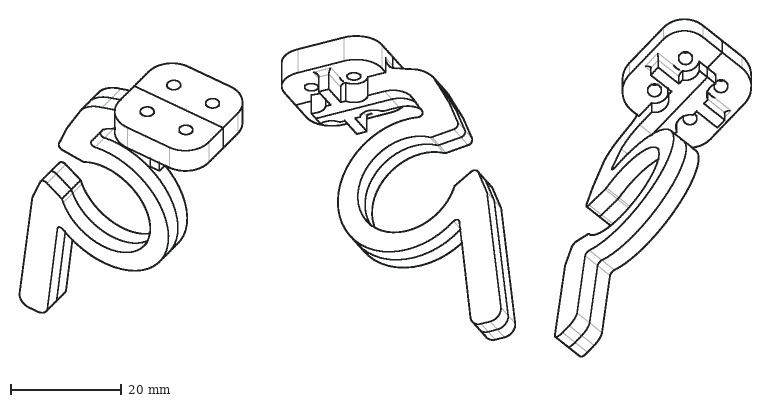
import cadquery as cq
import math


RING_INNER_R = 9.9
RING_OUTER_R = 13.95
UPPER_MOUTH_X = -4.75
LOWER_MOUTH_X = -9.2
UPPER_CROTCH_X = -3.85
LOWER_CROTCH_X = -10.3

PLATE_SIZE = 19.5
PLATE_THICKNESS = 5.05
PLATE_CORNER_R = 5.1
PLATE_LEFT = 4.35
PLATE_TOP = 30.15
PLATE_BOTTOM = PLATE_TOP - PLATE_THICKNESS
PLATE_CENTRE_X = PLATE_LEFT + PLATE_SIZE / 2

ARM_WIDTH = 6.0
ARM_BOTTOM = 21.1
ARM_END_X = 19.8
RIB_THICKNESS = 2.05
RIB_LENGTH = 16.0
RIB_FILLET_R = 0.8

HOLE_DIAMETER = 2.5
HOLE_SPACING = 8.5
HOLE_PATTERN_OFFSET = 0.25
HOLE_CENTRE_X = PLATE_CENTRE_X + HOLE_PATTERN_OFFSET
HEAD_CLEARANCE_R = 2.55

OVERALL_HEIGHT = 64.0
HANDLE_BOTTOM = PLATE_TOP - OVERALL_HEIGHT
HANDLE_LEFT = -19.1
HANDLE_RIGHT = -12.85
HANDLE_END_R = 2.2

NECK_TOP = (PLATE_LEFT, 28.2)
NECK_FOOT = (2.1, 25.35)
SHOULDER_START = (-0.7, 24.45)
SHOULDER_MIDDLE = (-3.1, 23.4)
SHOULDER_END = (-5.25, 21.45)
ARM_BACK_BEND = (-8.4, 15.2)
HANDLE_BACK_BEND = (-16.0, -6.1)
ARMPIT_START = (-0.5, 18.95)
ARMPIT_MIDDLE = (1.5, 20.35)
ARMPIT_END = (4.55, ARM_BOTTOM)

UPPER_TIP = (-10.55, 9.35)
LOWER_TIP = (-13.8, -0.1)
LOWER_MOUTH = (-9.5, -2.95)
HANDLE_FOOT_LEFT = (HANDLE_LEFT, HANDLE_BOTTOM)
HANDLE_FOOT_RIGHT = (HANDLE_RIGHT, HANDLE_BOTTOM)
TIP_R = 0.95
MOUTH_R = 0.65
CROTCH_R = 0.7


def on_circle(radius, x, side):
    """Point at x on a circle about the ring axis; side is +1 above, -1 below."""
    return (x, side * math.sqrt(radius**2 - x**2))


UPPER_MOUTH = on_circle(RING_INNER_R, UPPER_MOUTH_X, 1)
RING_INNER_END = on_circle(RING_INNER_R, LOWER_MOUTH_X, -1)
UPPER_CROTCH = on_circle(RING_OUTER_R, UPPER_CROTCH_X, 1)
LOWER_CROTCH = on_circle(RING_OUTER_R, LOWER_CROTCH_X, -1)


def round_corner(body, corner, radius):
    """Round the edge along Y that stands at the (x, z) corner."""
    x, z = corner
    edge = cq.selectors.NearestToPointSelector((x, ARM_WIDTH / 4, z))
    return body.edges("|Y").edges(edge).fillet(radius)


def make_hook():
    """Arm, ring and handle, from the split plane to +Y; the arm runs up through the plate."""
    outline = (
        cq.Workplane("XZ")
        .moveTo(ARM_END_X, PLATE_TOP)
        .lineTo(PLATE_LEFT, PLATE_TOP)
        .lineTo(*NECK_TOP)
        .tangentArcPoint(NECK_FOOT, relative=False)
        .lineTo(*SHOULDER_START)
        .threePointArc(SHOULDER_MIDDLE, SHOULDER_END)
        .lineTo(*ARM_BACK_BEND)
        .lineTo(*UPPER_TIP)
        .lineTo(*UPPER_MOUTH)
        .threePointArc((RING_INNER_R, 0), RING_INNER_END)
        .lineTo(*LOWER_MOUTH)
        .lineTo(*LOWER_TIP)
        .lineTo(*HANDLE_BACK_BEND)
        .lineTo(*HANDLE_FOOT_LEFT)
        .lineTo(*HANDLE_FOOT_RIGHT)
        .lineTo(*LOWER_CROTCH)
        .threePointArc((RING_OUTER_R, 0), UPPER_CROTCH)
        .lineTo(*ARMPIT_START)
        .threePointArc(ARMPIT_MIDDLE, ARMPIT_END)
        .lineTo(ARM_END_X, ARM_BOTTOM)
        .close()
    )
    hook = outline.extrude(-ARM_WIDTH / 2)
    corners = [
        (UPPER_TIP, TIP_R),
        (UPPER_MOUTH, MOUTH_R),
        (LOWER_TIP, TIP_R),
        (HANDLE_FOOT_LEFT, HANDLE_END_R),
        (HANDLE_FOOT_RIGHT, HANDLE_END_R),
        (LOWER_CROTCH, CROTCH_R),
        (UPPER_CROTCH, CROTCH_R),
    ]
    for corner, radius in corners:
        hook = round_corner(hook, corner, radius)
    return hook


def make_plate():
    """Half of the mounting plate, with its two outer corners rounded."""
    return (
        cq.Workplane("XY", origin=(PLATE_CENTRE_X, 0, PLATE_BOTTOM))
        .rect(PLATE_SIZE, PLATE_SIZE)
        .extrude(PLATE_THICKNESS)
        .edges("|Z")
        .fillet(PLATE_CORNER_R)
        .intersect(
            cq.Workplane("XY", origin=(PLATE_CENTRE_X, 0, PLATE_BOTTOM))
            .box(PLATE_SIZE, PLATE_SIZE / 2, PLATE_THICKNESS, centered=(True, False, False))
        )
    )


def make_rib():
    """Half of the cross rib under the plate, midway between the screw holes."""
    return cq.Workplane("XY", origin=(HOLE_CENTRE_X, 0, ARM_BOTTOM)).box(
        RIB_THICKNESS, RIB_LENGTH / 2, PLATE_BOTTOM - ARM_BOTTOM, centered=(True, False, False)
    )


def fillet_rib_root(body):
    """Blend the sides and the end of the rib into the underside of the plate."""
    margin = 0.05
    reach = RIB_THICKNESS / 2 + margin
    root = cq.selectors.BoxSelector(
        (HOLE_CENTRE_X - reach, ARM_WIDTH / 2, PLATE_BOTTOM - margin),
        (HOLE_CENTRE_X + reach, RIB_LENGTH / 2 + margin, PLATE_BOTTOM + margin),
    )
    return body.edges(root).fillet(RIB_FILLET_R)


def screw_cylinders(radius, bottom, top):
    """Upright cylinders on the two screw axes of one half."""
    return (
        cq.Workplane("XY", origin=(HOLE_CENTRE_X, HOLE_SPACING / 2, bottom))
        .rarray(HOLE_SPACING, 0.65, 2, 1)
        .circle(radius)
        .extrude(top - bottom)
    )


def make_bracket_half():
    half = make_plate().union(make_hook()).union(make_rib())
    half = fillet_rib_root(half)
    half = half.cut(screw_cylinders(HEAD_CLEARANCE_R, ARM_BOTTOM, PLATE_BOTTOM))
    return half.cut(screw_cylinders(HOLE_DIAMETER / 2, PLATE_BOTTOM, PLATE_TOP))


bracket_back_half = make_bracket_half()
bracket_front_half = bracket_back_half.mirror("XZ")

result = cq.Compound.makeCompound([bracket_back_half.solids().val(), bracket_front_half.solids().val()])